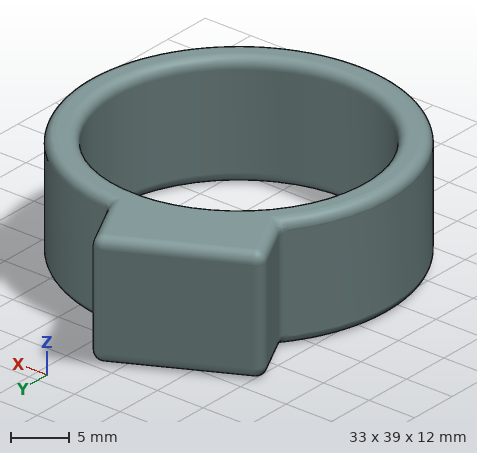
import cadquery as cq
import math

ring_outer_diameter = 33.0
ring_inner_diameter = 27.0
ring_height = 12.0

block_width = 15.05
block_reach = 21.5
block_offset = 0.65
block_turn = 27.3

edge_radius = 1.0

tolerance = 0.005


def make_ring_blank():
    """Solid disc from which the bore is cut, standing on Z = 0."""
    return cq.Workplane("XY").circle(ring_outer_diameter / 2).extrude(ring_height)


def make_block():
    """Block reaching from the ring axis to its outer face, as tall as the ring."""
    return (
        cq.Workplane("XY")
        .center(block_offset, block_reach / 2)
        .rect(block_width, block_reach)
        .extrude(ring_height)
        .rotate((0, 0, 0), (0, 0, 1), block_turn)
    )


def make_bore():
    """Cylinder that opens the ring from end to end."""
    return cq.Workplane("XY").circle(ring_inner_diameter / 2).extrude(ring_height)


def is_inside_corner(edge):
    """True for the two upright edges where the block sides meet the ring."""
    middle = edge.Center()
    distance_from_axis = math.hypot(middle.x, middle.y)
    is_upright = edge.geomType() == "LINE"
    return is_upright and abs(distance_from_axis - ring_outer_diameter / 2) < tolerance


def make_ring_body():
    """Ring and block as one solid, outer edges rounded first and inside corners last."""
    body = make_ring_blank().union(make_block()).cut(make_bore())
    outer_edges = body.edges().filter(lambda edge: not is_inside_corner(edge))
    body = outer_edges.fillet(edge_radius)
    inside_corners = body.edges("|Z").filter(is_inside_corner)
    return inside_corners.fillet(edge_radius)


ring_body = make_ring_body()

result = cq.Compound.makeCompound([ring_body.val()])